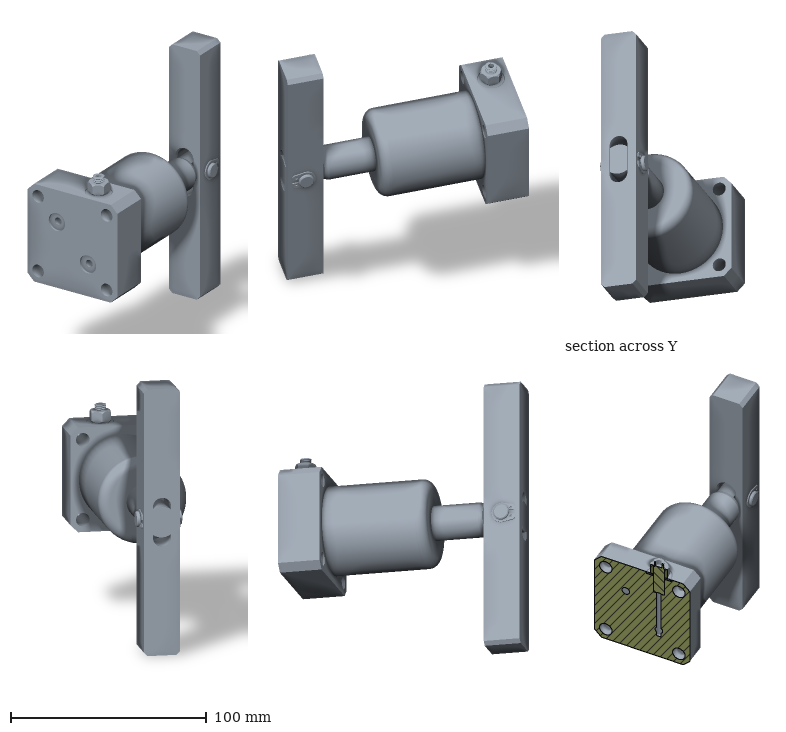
import cadquery as cq
import math

flange_side = 55.0
flange_depth = 22.0
flange_chamfer = 4.0
barrel_diameter = 46.0
barrel_end = 76.0
barrel_fillet = 5.0
mount_hole_diameter = 7.0
mount_hole_offset = 21.0

port_offset = 9.5
port_diameter = 4.0
port_depth = 10.0
port_recess_diameter = 10.0
port_recess_depth = 1.3

top_face = flange_side / 2
throttle_x = port_offset
throttle_y = 10.0
passage_diameter = 2.4
passage_bottom = -port_offset - port_diameter
washer_diameter = 14.2
washer_thickness = 1.0
washer_chamfer = 0.4
nut_across_flats = 10.0
nut_height = 6.0
nut_chamfer_height = 1.0
screw_diameter = 6.0
screw_projection = 3.0
screw_embedded = 12.0
socket_across_flats = 3.0
socket_depth = 3.0
thread_pitch = 1.0
thread_depth = 0.55
thread_mouth = 0.9
thread_clearance = 0.05

rod_diameter = 18.0
rod_start = 40.0
rod_end = 103.0
rod_chamfer_radial = 1.0
rod_chamfer_length = 2.3
tongue_diameter = rod_diameter - 2 * rod_chamfer_radial
tongue_width = 9.3

bar_width = 19.0
bar_length = 140.0
bar_front = 104.0
bar_back = bar_front + bar_width
bar_chamfer = 2.0
slot_width = 9.5
slot_length = 25.5
slot_mouth_chamfer = 0.75

pin_y = bar_front + bar_width / 2
pin_diameter = 8.0
pin_projection = 2.3
pin_chamfer = 0.5
groove_diameter = 7.4
groove_width = 0.9
ring_thickness = 0.6
ring_radius = 5.15
ring_gap = 2.1
ear_reach = 7.1
ear_shoulder_reach = 6.2
ear_shoulder_half_height = 4.0
ear_end_half_height = 3.0
ear_hole_diameter = 1.3
ear_hole_reach = 5.0
ear_hole_offset = 2.3


def cylinder_y(diameter, start, end, x=0.0, z=0.0):
    """Cylinder along Y between two Y positions."""
    origin = cq.Plane(origin=(x, start, z), xDir=(1, 0, 0), normal=(0, 1, 0))
    return cq.Workplane(origin).circle(diameter / 2).extrude(end - start)


def cylinder_z(diameter, bottom, top):
    """Cylinder along Z on the throttle screw axis."""
    start = cq.Workplane("XY", origin=(throttle_x, throttle_y, bottom))
    return start.circle(diameter / 2).extrude(top - bottom)


def cylinder_x(diameter, start, end, z=0.0):
    """Cylinder along X at the pivot pin's Y position."""
    return cq.Workplane("YZ", origin=(start, pin_y, z)).circle(diameter / 2).extrude(end - start)


def make_housing():
    flange = (
        cq.Workplane("XY")
        .box(flange_side, flange_depth, flange_side)
        .translate((0, flange_depth / 2, 0))
        .edges("|Y")
        .chamfer(flange_chamfer)
    )
    barrel = cylinder_y(barrel_diameter, flange_depth, barrel_end).faces(">Y").edges().fillet(barrel_fillet)
    body = flange.union(barrel)

    for x_side in (-1, 1):
        for z_side in (-1, 1):
            body = body.cut(cylinder_y(mount_hole_diameter, 0, flange_depth,
                                       x_side * mount_hole_offset, z_side * mount_hole_offset))

    for side in (-1, 1):
        x = side * port_offset
        body = body.cut(cylinder_y(port_recess_diameter, 0, port_recess_depth, x, -x))
        body = body.cut(cylinder_y(port_diameter, 0, port_depth, x, -x))

    body = body.cut(cylinder_z(passage_diameter, passage_bottom, top_face))
    body = body.cut(cylinder_z(screw_diameter, top_face - screw_embedded, top_face))
    body = body.cut(cylinder_z(washer_diameter, top_face - washer_thickness, top_face))
    return body.cut(cylinder_y(rod_diameter, rod_start, barrel_end))


def make_washer():
    washer = cylinder_z(washer_diameter, top_face - washer_thickness, top_face)
    washer = washer.faces(">Z").edges().chamfer(washer_chamfer)
    return washer.cut(cylinder_z(screw_diameter, top_face - washer_thickness, top_face))


def make_nut():
    across_corners = nut_across_flats / math.cos(math.pi / 6)
    nut = (
        cq.Workplane("XY", origin=(throttle_x, throttle_y, top_face))
        .transformed(rotate=(0, 0, 30))
        .polygon(6, across_corners)
        .extrude(nut_height)
    )
    chamfer_radial = (across_corners - nut_across_flats) / 2
    envelope = cylinder_z(across_corners, top_face, top_face + nut_height)
    envelope = envelope.faces(">Z or <Z").edges().chamfer(nut_chamfer_height, chamfer_radial)
    return nut.intersect(envelope).cut(cylinder_z(screw_diameter, top_face, top_face + nut_height))


def make_screw():
    thread_start = top_face + nut_height - thread_pitch
    screw_top = top_face + nut_height + screw_projection
    screw = cylinder_z(screw_diameter, top_face - screw_embedded, screw_top)
    socket = (
        cq.Workplane("XY", origin=(throttle_x, throttle_y, screw_top - socket_depth))
        .polygon(6, socket_across_flats / math.cos(math.pi / 6))
        .extrude(socket_depth)
    )
    screw = screw.cut(socket)

    radius = screw_diameter / 2
    half_mouth = thread_mouth / 2
    path = cq.Wire.makeHelix(thread_pitch, screw_projection + thread_pitch, radius)
    groove = (
        cq.Workplane("XZ")
        .moveTo(radius - thread_depth, 0)
        .lineTo(radius + thread_clearance, half_mouth)
        .lineTo(radius + thread_clearance, -half_mouth)
        .close()
        .sweep(cq.Workplane(obj=path), isFrenet=True)
        .translate((throttle_x, throttle_y, thread_start))
    )
    return screw.cut(groove)


def make_rod():
    rod = cylinder_y(rod_diameter, rod_start, rod_end)
    rod = rod.faces(">Y").edges().chamfer(rod_chamfer_length, rod_chamfer_radial)
    flat = (
        cq.Workplane("XY")
        .box(tongue_width, bar_back - rod_end, tongue_diameter)
        .translate((0, (bar_back + rod_end) / 2, 0))
    )
    tongue = cylinder_y(tongue_diameter, rod_end, bar_back).intersect(flat)
    return rod.union(tongue).cut(cylinder_x(pin_diameter, -rod_diameter, rod_diameter))


def make_bar():
    bar = (
        cq.Workplane("XY")
        .box(bar_width, bar_width, bar_length)
        .translate((0, pin_y, 0))
        .faces("<Z or >Z")
        .edges("|Y")
        .chamfer(bar_chamfer)
    )
    slot = cq.Workplane("XZ", origin=(0, bar_back, 0)).slot2D(slot_length, slot_width, 90).extrude(bar_width)
    mouth = (
        cq.Workplane("XZ", origin=(0, bar_front, 0))
        .slot2D(slot_length + 2 * slot_mouth_chamfer, slot_width + 2 * slot_mouth_chamfer, 90)
        .extrude(-slot_mouth_chamfer, taper=45)
    )
    return bar.cut(slot).cut(mouth).cut(cylinder_x(pin_diameter, -bar_width, bar_width))


def make_pin():
    half_length = bar_width / 2 + pin_projection
    pin = cylinder_x(pin_diameter, -half_length, half_length).faces("<X or >X").chamfer(pin_chamfer)
    for start in (-bar_width / 2 - groove_width, bar_width / 2):
        end = start + groove_width
        groove = cylinder_x(pin_diameter, start, end)
        pin = pin.cut(groove.cut(cylinder_x(groove_diameter, start, end)))
    return pin


def make_ring(start):
    """Open retaining ring with two pierced ears toward +Y; start is its lower X face."""
    plane = cq.Workplane("YZ", origin=(start, pin_y, 0))
    ears = (
        plane
        .moveTo(0, ring_radius)
        .lineTo(ear_shoulder_reach, ear_shoulder_half_height)
        .lineTo(ear_reach, ear_end_half_height)
        .lineTo(ear_reach, -ear_end_half_height)
        .lineTo(ear_shoulder_reach, -ear_shoulder_half_height)
        .lineTo(0, -ring_radius)
        .close()
        .extrude(ring_thickness)
    )
    end = start + ring_thickness
    ring = cylinder_x(2 * ring_radius, start, end).union(ears)
    ring = ring.cut(cylinder_x(groove_diameter, start, end))
    ring = ring.cut(plane.center(ear_reach / 2, 0).rect(ear_reach, ring_gap).extrude(ring_thickness))
    for side in (-1, 1):
        hole = cylinder_x(ear_hole_diameter, start, end, side * ear_hole_offset)
        ring = ring.cut(hole.translate((0, ear_hole_reach, 0)))
    return ring


housing = make_housing()
washer = make_washer()
nut = make_nut()
screw = make_screw()
rod = make_rod()
bar = make_bar()
pin = make_pin()
rings = [make_ring(start) for start in (-bar_width / 2 - ring_thickness, bar_width / 2)]

result = cq.Compound.makeCompound([
    housing.val(),
    washer.val(),
    nut.val(),
    screw.val(),
    rod.val(),
    bar.val(),
    pin.val(),
    *[ring.val() for ring in rings],
])